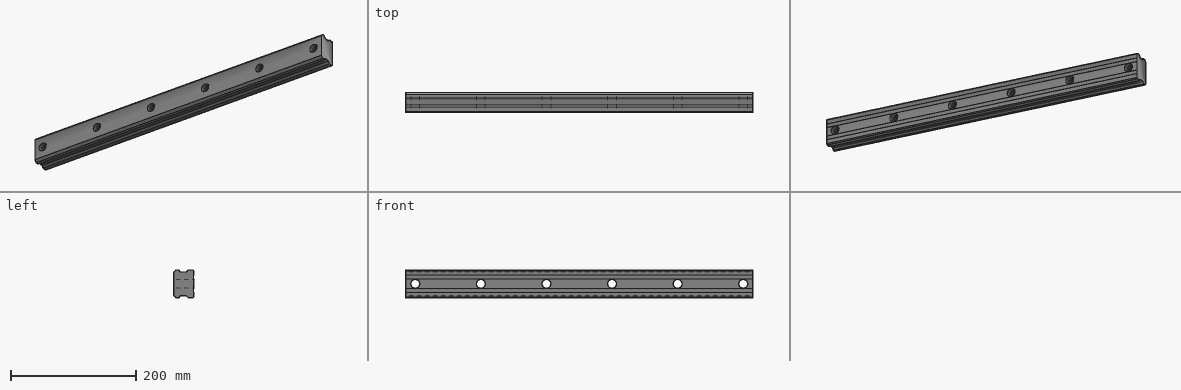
import cadquery as cq
import math

length = 555.0
depth = 32.0
height = 45.0
front_chamfer = 1.5
back_chamfer = 4.0

channel_depth = 3.5
channel_front_rim = 9.0
channel_floor_start = 12.0
channel_back_wall = 23.5
back_corner_radius = 3.0

relief_inner = 7.5
relief_outer = 14.0
relief_depth = 0.3

hole_diameter = 14.0
hole_count = 6
hole_pitch = 105.0


def rail_half():
    """Extrude the channelled upper half of the section along the rail."""
    front = -depth / 2
    back = depth / 2
    top = height / 2
    floor = top - channel_depth
    wall = front + channel_back_wall
    arc_start = wall - back_corner_radius
    arc_end = floor + back_corner_radius
    arc_reach = back_corner_radius * math.sqrt(0.5)
    arc_middle = (arc_start + arc_reach, arc_end - arc_reach)
    return (
        cq.Workplane("YZ")
        .moveTo(front, 0)
        .lineTo(front, top - front_chamfer)
        .lineTo(front + front_chamfer, top)
        .lineTo(front + channel_front_rim, top)
        .lineTo(front + channel_floor_start, floor)
        .lineTo(arc_start, floor)
        .threePointArc(arc_middle, (wall, arc_end))
        .lineTo(wall, top)
        .lineTo(back - back_chamfer, top)
        .lineTo(back, top - back_chamfer)
        .lineTo(back, 0)
        .close()
        .extrude(length / 2, both=True)
    )


def rail_body():
    """Join the upper half to its mirror image below the mid-plane."""
    upper = rail_half()
    return upper.union(upper.mirror("XY")).clean()


def relief_grooves():
    """Two full-length strips, one on each side of the hole row."""
    offset = (relief_inner + relief_outer) / 2
    return (
        cq.Workplane("XZ", origin=(0, -depth / 2, 0))
        .pushPoints([(0, offset), (0, -offset)])
        .rect(length, relief_outer - relief_inner)
        .extrude(-relief_depth)
    )


def mounting_holes():
    """An evenly spaced row of through holes."""
    return (
        cq.Workplane("XZ")
        .rarray(hole_pitch, 5.5, hole_count, 1)
        .circle(hole_diameter / 2)
        .extrude(depth, both=True)
    )


result = rail_body().cut(relief_grooves()).cut(mounting_holes())